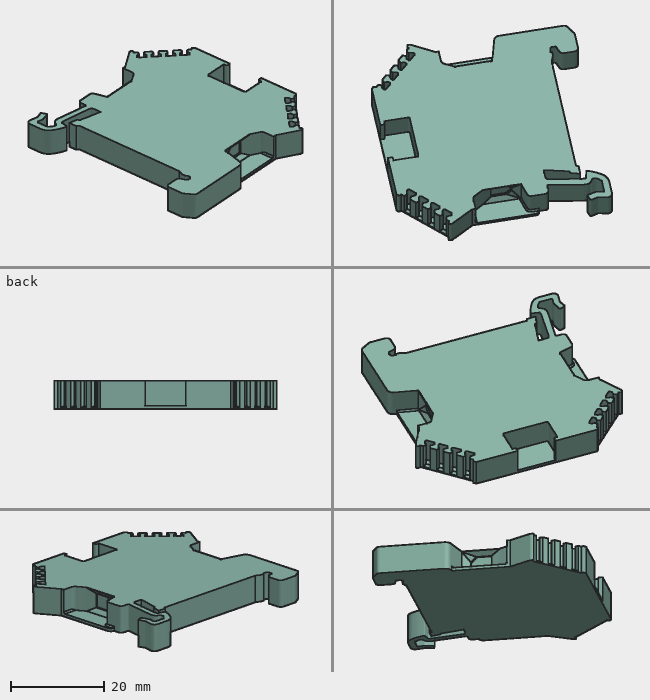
import cadquery as cq
import math


THICKNESS = 6.1
HEIGHT = 45.44
HALF_WIDTH = 47.75 / 2
EDGE_ROUND = 0.2

SIDE_X = 20.95
SIDE_TOP_Y = 30.25
SHOULDER_Y = 35.88
SHOULDER_FLANK_Y = 35.2
TOP_EDGE_X = 14.0
FACE_LOW_X = 23.05
FACE_HIGH_X = 14.3
FACE_SUM = 58.75

FLOOR_Z = 0.68
WINDOW_TOP_Y = 29.5
WALL_X = 16.42
WALL_TOP_Y = 27.0
WALL_BOTTOM_Y = 18.72
WINDOW_BEND_X = 17.9
WINDOW_BEND_RADIUS = 1.0
SILL_SLOPE = math.tan(math.radians(15))
FLOOR_END_Y = 15.4
FLOOR_END_RADIUS = 0.98
LIP = 0.36
CUT_MARGIN = 1.0

BLOCK_LEFT_X = -19.95
BLOCK_RIGHT_X = 22.55
BLOCK_LEFT_RADIUS = 0.85
BLOCK_RIGHT_RADIUS = 1.3
BLOCK_BOTTOM_Y = 13.27
RAIL_Y = 6.23
RAIL_LUG_Y = 5.7
FOOT_TOE_X = 15.47
FOOT_ROUND = 1.0
UNDERCUT_X = 17.52
UNDERCUT_TOP_Y = 6.0

ARM_INNER_X = -17.55
HOOK_INNER_X = -17.92
HOOK_FLOOR_Y = 1.55
CLIP_BEND_RADIUS = 2.85
CLIP_BACK_RADIUS = 9.6

NOTCH_NECK_X = 4.36
NOTCH_NECK_DEPTH = 1.03
NOTCH_HALF_WIDTH = 5.22
NOTCH_DEPTH = 6.54
NOTCH_RADIUS = 0.37

GROOVE_COUNT = 4
GROOVE_PITCH = 3.09
FIRST_GROOVE_X = -15.38
GROOVE_MOUTH_HALF = 0.8
GROOVE_WAIST_HALF = 0.5
GROOVE_WAIST_DEPTH = 0.77
GROOVE_POCKET_HALF = 1.05
GROOVE_FLARE_DEPTH = 1.34
GROOVE_DEPTH = 2.05
GROOVE_CORNER_RADIUS = 0.25
GROOVE_BULGE = 0.06
GROOVE_FLOOR_Z = 0.65
GROOVE_MOUTH_Z = 0.35

FUNNEL_DEPTH = 0.95
FUNNEL_POCKET_DEPTH = 0.4
FUNNEL_MID_Z = 3.345
FUNNEL_INNER_TOP_Y = 25.12
FUNNEL_INNER_BOTTOM_Y = 20.59
FUNNEL_INNER_HALF_HEIGHT = 1.615
FUNNEL_CORNER_Y = 1.17
FUNNEL_CORNER_Z = 1.2


def rounded_outline(plane, corners):
    """Closed wire through (x, y) or (x, y, radius) corners."""
    count = len(corners)
    work = None
    for i in range(count):
        x, y = corners[i][:2]
        radius = corners[i][2] if len(corners[i]) > 2 else 0
        corner = cq.Vector(x, y)
        to_last = (cq.Vector(*corners[i - 1][:2]) - corner).normalized()
        to_next = (cq.Vector(*corners[(i + 1) % count][:2]) - corner).normalized()
        half_angle = to_last.getAngle(to_next) / 2
        setback = radius / math.tan(half_angle)
        start = corner + to_last * setback
        work = plane.moveTo(start.x, start.y) if work is None else work.lineTo(start.x, start.y)
        if radius:
            bisector = (to_last + to_next).normalized()
            middle = corner + bisector * (radius / math.sin(half_angle) - radius)
            end = corner + to_next * setback
            work = work.threePointArc((middle.x, middle.y), (end.x, end.y))
    return work.close()


def mirrored(corners):
    """The same corners on the other side of X = 0, in reverse order."""
    return [(-corner[0], *corner[1:]) for corner in reversed(corners)]


def both_sides(solid):
    """A left-hand cutter together with its mirror image."""
    return solid.union(solid.mirror("YZ"))


def sill_y(x):
    """Upper edge of the foot block, falling away from the window wall."""
    return WALL_BOTTOM_Y - SILL_SLOPE * (abs(x) - WALL_X)


def upper_left_corners():
    """Left side from the straight flank up to the top edge."""
    return [
        (-SIDE_X, SIDE_TOP_Y),
        (-HALF_WIDTH, SHOULDER_FLANK_Y, 0.3),
        (-HALF_WIDTH, SHOULDER_Y, 0.25),
        (-FACE_LOW_X - EDGE_ROUND, SHOULDER_Y, 0.1),
        (-FACE_LOW_X, FACE_SUM - FACE_LOW_X),
        (-FACE_HIGH_X, FACE_SUM - FACE_HIGH_X),
        (-14.55, 44.95, 0.1),
        (-TOP_EDGE_X, HEIGHT),
    ]


def right_foot_corners():
    """From the right flank down the fixed foot and along to the rail face."""
    return [
        (SIDE_X, sill_y(SIDE_X)),
        (BLOCK_RIGHT_X, sill_y(BLOCK_RIGHT_X), BLOCK_RIGHT_RADIUS),
        (BLOCK_RIGHT_X, 1.5, FOOT_ROUND),
        (20.0, 0, FOOT_ROUND),
        (FOOT_TOE_X, 0, 0.9),
        (FOOT_TOE_X, 3.95, FOOT_ROUND),
        (UNDERCUT_X, 4.65, EDGE_ROUND),
        (UNDERCUT_X, UNDERCUT_TOP_Y, 0.6),
        (16.35, UNDERCUT_TOP_Y, EDGE_ROUND),
        (16.15, RAIL_LUG_Y, 0.1),
        (15.2, RAIL_LUG_Y, 0.5),
        (14.0, RAIL_Y),
    ]


def spring_clip_corners():
    """From the rail face around the slot, the hook and the arm to the left flank."""
    return [
        (-13.9, RAIL_Y, 0.1),
        (-14.2, RAIL_LUG_Y),
        (-16.18, RAIL_LUG_Y),
        (-15.67, 7.7, EDGE_ROUND),
        (-15.1, 7.95, 0.3),
        (-13.76, BLOCK_BOTTOM_Y),
        (-16.25, BLOCK_BOTTOM_Y, 0.8),
        (ARM_INNER_X, 5.65, 0.3),
        (ARM_INNER_X, 4.8, 0.1),
        (-15.62, 4.32, 0.12),
        (-16.16, 2.62, CLIP_BACK_RADIUS),
        (-18.08, 0, CLIP_BEND_RADIUS),
        (-23.25, 0, 0.95),
        (-23.35, 1.1),
        (-22.9, 3.15, EDGE_ROUND),
        (-23.4, 4.87, 0.25),
        (-21.97, 5.36, EDGE_ROUND),
        (-21.42, 3.17, EDGE_ROUND),
        (-21.77, HOOK_FLOOR_Y, 0.25),
        (-18.85, HOOK_FLOOR_Y, EDGE_ROUND),
        (HOOK_INNER_X, 2.62, 0.5),
        (HOOK_INNER_X, 3.4, EDGE_ROUND),
        (-19.18, 4.2, 1.3),
        (-19.12, 5.5),
        (-17.72, BLOCK_BOTTOM_Y, 0.25),
        (BLOCK_LEFT_X, BLOCK_BOTTOM_Y, 0.8),
        (BLOCK_LEFT_X, FLOOR_END_Y),
        (-SIDE_X, FLOOR_END_Y, FLOOR_END_RADIUS),
    ]


def make_plate():
    upper_left = upper_left_corners()
    corners = upper_left + mirrored(upper_left) + right_foot_corners() + spring_clip_corners()
    return rounded_outline(cq.Workplane("XY"), corners).extrude(THICKNESS)


def make_window(side, sill_corners):
    """Window cutter on one side (-1 left, 1 right), closed below by sill_corners."""
    outside_x = side * (SIDE_X + CUT_MARGIN)
    corners = [
        (outside_x, WINDOW_TOP_Y),
        (side * WINDOW_BEND_X, WINDOW_TOP_Y, WINDOW_BEND_RADIUS),
        (side * WALL_X, WALL_TOP_Y),
        (side * WALL_X, WALL_BOTTOM_Y),
    ] + sill_corners
    plane = cq.Workplane("XY").workplane(offset=FLOOR_Z)
    window = rounded_outline(plane, corners).extrude(THICKNESS)
    return window.cut(make_upper_lip()).cut(make_sill_lip())


def make_upper_lip():
    """45 degree lip along the upper edge of both windows."""
    profile = [
        (WINDOW_TOP_Y, FLOOR_Z),
        (WINDOW_TOP_Y - LIP, FLOOR_Z),
        (WINDOW_TOP_Y, FLOOR_Z + LIP),
    ]
    return cq.Workplane("YZ").polyline(profile).close().extrude(HALF_WIDTH, both=True)


def make_sill_lip():
    """45 degree lip around the upper edge of the foot block."""
    block = [
        (BLOCK_LEFT_X, sill_y(BLOCK_LEFT_X), BLOCK_LEFT_RADIUS),
        (-WALL_X, WALL_BOTTOM_Y),
        (WALL_X, WALL_BOTTOM_Y),
        (BLOCK_RIGHT_X, sill_y(BLOCK_RIGHT_X)),
        (BLOCK_RIGHT_X, BLOCK_BOTTOM_Y),
        (BLOCK_LEFT_X, BLOCK_BOTTOM_Y),
    ]
    plane = cq.Workplane("XY").workplane(offset=FLOOR_Z)
    return rounded_outline(plane, block).offset2D(LIP, "intersection").extrude(LIP, taper=45)


def make_windows():
    right_outside_x = SIDE_X + CUT_MARGIN
    left_outside_x = -right_outside_x
    left_sill = [
        (BLOCK_LEFT_X, sill_y(BLOCK_LEFT_X), BLOCK_LEFT_RADIUS),
        (BLOCK_LEFT_X, BLOCK_BOTTOM_Y),
        (left_outside_x, BLOCK_BOTTOM_Y),
    ]
    right_sill = [(right_outside_x, sill_y(right_outside_x))]
    return make_window(-1, left_sill).union(make_window(1, right_sill))


def polygon_face(points):
    wire = cq.Wire.makePolygon([cq.Vector(*point) for point in points], close=True)
    return cq.Face.makeFromWires(wire)


def make_funnel():
    """Left wire funnel: a rectangle narrowing to a straight hexagonal pocket."""
    half_height = FUNNEL_MID_Z - FLOOR_Z
    inner_x = -WALL_X + FUNNEL_DEPTH
    corner_start_y = FUNNEL_INNER_BOTTOM_Y + FUNNEL_CORNER_Y
    corner_half_z = FUNNEL_INNER_HALF_HEIGHT - FUNNEL_CORNER_Z

    def level(x, y, half):
        return (x, y, FUNNEL_MID_Z - half), (x, y, FUNNEL_MID_Z + half)

    outer_top_low, outer_top_high = level(-WALL_X, WALL_TOP_Y, half_height)
    outer_end_low, outer_end_high = level(-WALL_X, WALL_BOTTOM_Y, half_height)
    inner_top_low, inner_top_high = level(inner_x, FUNNEL_INNER_TOP_Y, FUNNEL_INNER_HALF_HEIGHT)
    corner_low, corner_high = level(inner_x, corner_start_y, FUNNEL_INNER_HALF_HEIGHT)
    inner_end_low, inner_end_high = level(inner_x, FUNNEL_INNER_BOTTOM_Y, corner_half_z)
    hexagon = [inner_top_low, inner_top_high, corner_high, inner_end_high, inner_end_low, corner_low]
    polygons = [
        [outer_top_low, outer_top_high, outer_end_high, outer_end_low],
        hexagon,
        [outer_top_low, outer_top_high, inner_top_high, inner_top_low],
        [outer_top_high, outer_end_high, corner_high, inner_top_high],
        [outer_top_low, outer_end_low, corner_low, inner_top_low],
        [outer_end_high, corner_high, inner_end_high],
        [outer_end_low, corner_low, inner_end_low],
        [outer_end_low, outer_end_high, inner_end_high, inner_end_low],
    ]
    taper = cq.Solid.makeSolid(cq.Shell.makeShell([polygon_face(polygon) for polygon in polygons]))
    pocket = cq.Solid.extrudeLinear(polygon_face(hexagon), cq.Vector(FUNNEL_POCKET_DEPTH, 0, 0))
    return cq.Workplane(obj=taper).union(cq.Workplane(obj=pocket))


def make_marker_notch():
    top_y = HEIGHT + CUT_MARGIN
    neck_y = HEIGHT - NOTCH_NECK_DEPTH
    left = [
        (-NOTCH_HALF_WIDTH, HEIGHT - NOTCH_DEPTH, NOTCH_RADIUS),
        (-NOTCH_HALF_WIDTH, neck_y),
        (-NOTCH_NECK_X, neck_y, NOTCH_RADIUS),
        (-NOTCH_NECK_X, top_y),
    ]
    plane = cq.Workplane("XY").workplane(offset=FLOOR_Z)
    return rounded_outline(plane, left + mirrored(left)).extrude(THICKNESS)


def make_groove():
    """Groove cutter with the mouth centre at the origin and depth along +Y."""
    neck_middle = (GROOVE_MOUTH_HALF + GROOVE_WAIST_HALF) / 2 - GROOVE_BULGE
    neck = (
        cq.Workplane("XY")
        .workplane(offset=GROOVE_MOUTH_Z)
        .moveTo(-GROOVE_MOUTH_HALF, 0)
        .threePointArc((-neck_middle, GROOVE_WAIST_DEPTH / 2), (-GROOVE_WAIST_HALF, GROOVE_WAIST_DEPTH))
        .lineTo(GROOVE_WAIST_HALF, GROOVE_WAIST_DEPTH)
        .threePointArc((neck_middle, GROOVE_WAIST_DEPTH / 2), (GROOVE_MOUTH_HALF, 0))
        .close()
        .extrude(THICKNESS)
    )
    ramp_profile = [
        (0, 0),
        (GROOVE_WAIST_DEPTH, 0),
        (GROOVE_WAIST_DEPTH, GROOVE_FLOOR_Z),
        (0, GROOVE_MOUTH_Z),
    ]
    ramp = (
        cq.Workplane("YZ")
        .polyline(ramp_profile)
        .close()
        .extrude(GROOVE_POCKET_HALF, both=True)
    )
    left = [
        (-GROOVE_POCKET_HALF, GROOVE_DEPTH, GROOVE_CORNER_RADIUS),
        (-GROOVE_POCKET_HALF, GROOVE_FLARE_DEPTH, GROOVE_CORNER_RADIUS),
        (-GROOVE_WAIST_HALF, GROOVE_WAIST_DEPTH),
    ]
    plane = cq.Workplane("XY").workplane(offset=GROOVE_FLOOR_Z)
    pocket = rounded_outline(plane, left + mirrored(left)).extrude(THICKNESS)
    return neck.cut(ramp).union(pocket)


def make_left_grooves():
    turned = make_groove().rotate((0, 0, 0), (0, 0, 1), -135)
    step = GROOVE_PITCH / math.sqrt(2)
    grooves = cq.Workplane("XY")
    for i in range(GROOVE_COUNT):
        x = FIRST_GROOVE_X - i * step
        grooves = grooves.union(turned.translate((x, FACE_SUM + x, 0)))
    return grooves


housing = (
    make_plate()
    .cut(make_windows())
    .cut(both_sides(make_funnel()))
    .cut(make_marker_notch())
    .cut(both_sides(make_left_grooves()))
)
result = cq.Workplane(obj=housing.solids().val())